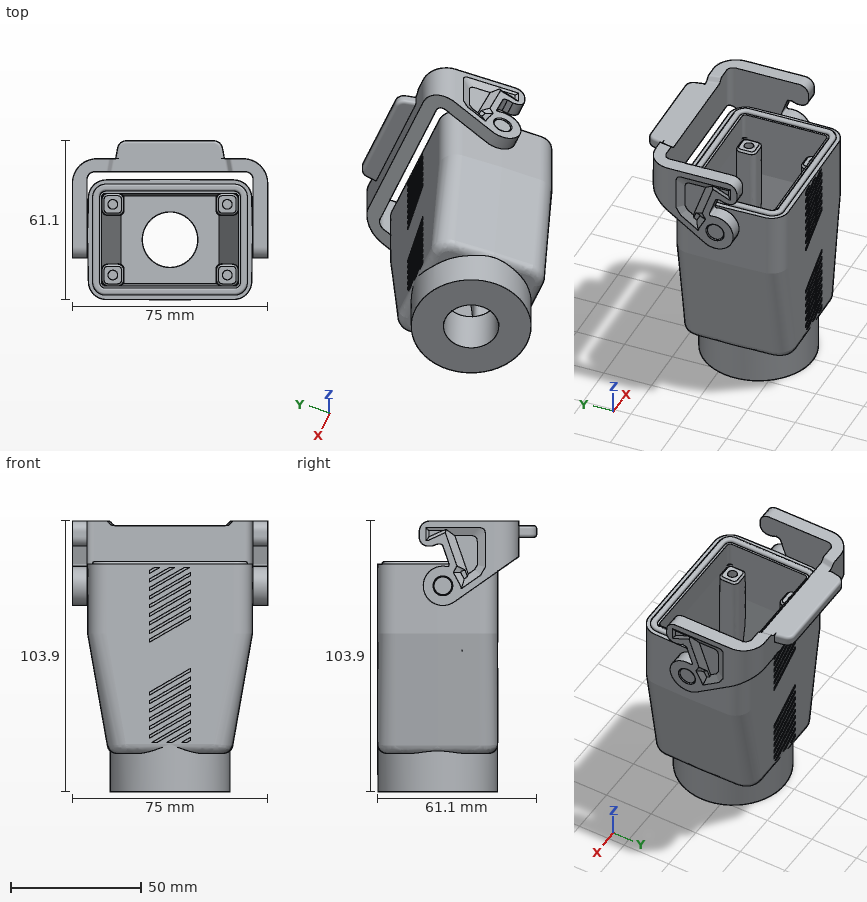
import cadquery as cq
import math

overall_width = 75.0
overall_height = 103.9

hood_depth = 46.0
hood_half_width = 31.65
side_draft = 0.4
hood_bottom = 14.7
taper_start = 60.7
hood_top = 87.3
taper_angle = 10.0
hood_corner_radius = 7.0
hood_bottom_radius = 3.5

collar_diameter = hood_depth
cable_hole_diameter = 21.2

cavity_half_width = 26.2
cavity_half_depth = 17.7
cavity_floor = 19.0
cavity_floor_half_depth = 16.8
cavity_corner_radius = 1.5
lip_outer_half_width = 29.7
lip_outer_half_depth = 21.3
lip_width = 2.7
lip_height = 1.05
lip_corner_radius = 5.0
lip_edge_radius = 0.9

post_x = 21.95
post_y = 13.55
post_size = 8.3
post_top = 76.4
post_draft = 0.2
post_corner_radius = 2.2
post_top_chamfer = 0.8
screw_hole_diameter = 3.7
screw_hole_depth = 12.0

lever_back = 31.1
lever_back_thickness = 5.1
lever_arm_thickness = 5.7
lever_outer_radius = 9.5
lever_inner_radius = 2.8
pivot_y = 2.0
pivot_z = 79.0
pivot_boss_radius = 7.55
lower_edge_angle = 35.0
nose_front_y = -7.1
nose_upper_radius = 4.1
nose_lower_radius = 3.4
nose_bottom_z = 94.2
nose_lip_y = -2.2
mouth_roof_start_y = 0.0
mouth_roof_z = 95.0
mouth_roof_y = 1.7
throat_angle = 22.0
mouth_roof_radius = 1.2
throat_radius = 0.7
pin_radius = 3.4
pin_chamfer = 0.4
pin_embed = 0.8

arm_rim = 2.6
pocket_depth = 1.5
pocket_wall_angle = 64.0
pocket_back_y = 18.25
pocket_corner_radius = 5.0
pocket_back_chamfer = 1.8
nose_pocket_depth = 0.55
nose_pocket_low_z = 96.4
nose_pocket_low_width = 0.8
nose_pocket_high_z = 99.6
nose_pocket_top_overlap = 2.0
nose_pocket_low_overlap = 1.0
pivot_pocket_depth = 1.2
pivot_rim_radius = 6.5
pivot_rim_start = 38.0
pivot_rim_end = 85.0
pivot_tip_offset = 0.6
pivot_pocket_top_z = 86.6
pivot_pocket_width = 6.0
pivot_pocket_height = 7.5

tab_end = 38.0
tab_top = 102.1
tab_thickness = 4.6
tab_base_half_width = 20.9
tab_side_angle = 10.5
tab_corner_radius = 3.5
tab_edge_radius = 1.2
notch_half_width = 21.4
notch_side_angle = 45.0
notch_edge_radius = 1.2

rib_band_half_width = 7.8
rib_band_bottom = 19.0
rib_band_top = 86.0
rib_angle = 30.0
rib_thickness = 1.0
rib_height = 0.15
rib_pitch = 3.3
upper_rib_start = 62.5
lower_rib_start = 42.2
ribs_per_group = 11


def rad(angle):
    return math.radians(angle)


taper_slope = math.tan(rad(taper_angle))


def box_around(x, y, z, reach=0.5):
    """Selects whatever has its centre close to one point."""
    return cq.selectors.BoxSelector(
        (x - reach, y - reach, z - reach), (x + reach, y + reach, z + reach))


def half_hood_outline(half_width, z):
    """Back half of the hood outline, with its straight side on the parting plane."""
    half_depth = hood_depth / 2
    end_width = half_width - side_draft
    outline = cq.Workplane("XY", origin=(0, 0, z)).polyline([
        (half_width, 0), (end_width, half_depth), (-end_width, half_depth), (-half_width, 0),
    ]).close()
    return outline.val().fillet2D(hood_corner_radius, outline.vertices(">Y").vals())


def make_hood():
    """Tapered housing, built as one half and its mirror image, on a round collar."""
    drop = taper_start - hood_bottom
    bottom = half_hood_outline(hood_half_width - drop * taper_slope, hood_bottom)
    middle = half_hood_outline(hood_half_width, taper_start)
    top = half_hood_outline(hood_half_width, hood_top)
    lower = cq.Workplane(cq.Solid.makeLoft([bottom, middle], True))
    lower = lower.faces("<Z").edges("not(<Y)").fillet(hood_bottom_radius)
    upper = cq.Workplane(cq.Solid.makeLoft([middle, top], True))
    half = lower.union(upper)
    collar = cq.Workplane("XY").circle(collar_diameter / 2).extrude(cavity_floor)
    return half.union(half.mirror("XZ")).union(collar)


def make_cavity():
    """Space inside the hood."""
    upper = (cq.Workplane("XY").workplane(offset=post_top)
             .rect(2 * cavity_half_width, 2 * cavity_half_depth).extrude(overall_height - post_top))
    floor_half_width = cavity_half_width - (taper_start - cavity_floor) * taper_slope
    slope_block = (cq.Workplane("YZ").polyline([
        (-cavity_half_depth, post_top), (cavity_half_depth, post_top),
        (cavity_floor_half_depth, cavity_floor), (-cavity_floor_half_depth, cavity_floor),
    ]).close().extrude(cavity_half_width, both=True))
    side_block = (cq.Workplane("XZ").polyline([
        (-cavity_half_width, post_top), (cavity_half_width, post_top),
        (cavity_half_width, taper_start), (floor_half_width, cavity_floor),
        (-floor_half_width, cavity_floor), (-cavity_half_width, taper_start),
    ]).close().extrude(hood_depth, both=True))
    return upper.edges("|Z").fillet(cavity_corner_radius).union(slope_block.intersect(side_block))


def make_lip():
    """Rounded sealing ring on the hood rim."""
    outer = (2 * lip_outer_half_width, 2 * lip_outer_half_depth)
    inner = (outer[0] - 2 * lip_width, outer[1] - 2 * lip_width)
    ring = (cq.Workplane("XY").workplane(offset=hood_top).rect(*outer).extrude(lip_height)
            .edges("|Z").fillet(lip_corner_radius))
    opening = (cq.Workplane("XY").workplane(offset=hood_top).rect(*inner).extrude(lip_height)
               .edges("|Z").fillet(lip_corner_radius - lip_width))
    return ring.cut(opening).faces(">Z").edges().fillet(lip_edge_radius)


def post_outline(size):
    return cq.Sketch().rect(size, size).vertices().fillet(post_corner_radius)


def make_posts():
    """Four screw posts standing on the cavity floor, and their blind holes."""
    height = post_top - cavity_floor
    foot_size = post_size + 2 * height * math.tan(rad(post_draft))
    centers = [(sx * post_x, sy * post_y) for sx in (-1, 1) for sy in (-1, 1)]
    post = (cq.Workplane("XY").workplane(offset=cavity_floor)
            .placeSketch(post_outline(foot_size),
                         post_outline(post_size).moved(cq.Location(cq.Vector(0, 0, height))))
            .loft().faces(">Z").chamfer(post_top_chamfer))
    posts = cq.Workplane("XY")
    for x, y in centers:
        posts = posts.union(post.translate((x, y, 0)))
    holes = (cq.Workplane("XY").workplane(offset=post_top).pushPoints(centers)
             .circle(screw_hole_diameter / 2).extrude(-screw_hole_depth))
    return posts, holes


def lever_plan():
    """U shape of the lever from above, as a full-height block."""
    outer_half = overall_width / 2
    inner_half = outer_half - lever_arm_thickness
    inner_back = lever_back - lever_back_thickness
    outer = (cq.Workplane("XY").rect(2 * outer_half, 2 * lever_back).extrude(overall_height)
             .edges("|Z and >Y").fillet(lever_outer_radius))
    inner = (cq.Workplane("XY").rect(2 * inner_half, 2 * inner_back).extrude(overall_height)
             .edges("|Z and >Y").fillet(lever_inner_radius))
    front_gap = (cq.Workplane("XY").center(0, -lever_back)
                 .rect(2 * inner_half, 2 * lever_back).extrude(overall_height))
    return outer.cut(inner).cut(front_gap)


def on_pivot_circle(radius, angle):
    """Point on a circle about the pivot, at an angle from straight up towards +Y."""
    return (pivot_y + radius * math.sin(rad(angle)), pivot_z + radius * math.cos(rad(angle)))


def lever_side_profile():
    """Hooked side shape of the lever arms, as a full-width block."""
    throat_y, throat_z = on_pivot_circle(pivot_boss_radius, throat_angle)
    tangent_y, tangent_z = on_pivot_circle(pivot_boss_radius, 180 - lower_edge_angle)
    back_z = tangent_z + (lever_back - tangent_y) * math.tan(rad(lower_edge_angle))
    profile = (cq.Workplane("YZ").moveTo(lever_back, overall_height)
               .lineTo(nose_front_y, overall_height)
               .lineTo(nose_front_y, nose_bottom_z)
               .lineTo(nose_lip_y, nose_bottom_z)
               .lineTo(mouth_roof_start_y, mouth_roof_z)
               .lineTo(mouth_roof_y, mouth_roof_z)
               .lineTo(throat_y, throat_z)
               .threePointArc((pivot_y - pivot_boss_radius, pivot_z), (tangent_y, tangent_z))
               .lineTo(lever_back, back_z)
               .close().extrude(overall_width, both=True))
    for y, z, radius in [
        (nose_front_y, overall_height, nose_upper_radius),
        (nose_front_y, nose_bottom_z, nose_lower_radius),
        (mouth_roof_y, mouth_roof_z, mouth_roof_radius),
        (throat_y, throat_z, throat_radius),
    ]:
        profile = profile.edges(box_around(0, y, z)).fillet(radius)
    return profile


def make_tab():
    """Thumb tab reaching out behind the lever."""
    inner_back = lever_back - lever_back_thickness
    side_slope = math.tan(rad(tab_side_angle))
    root_half = tab_base_half_width + lever_back_thickness * side_slope
    end_half = tab_base_half_width - (tab_end - lever_back) * side_slope
    tab = (cq.Workplane("XY").workplane(offset=tab_top - tab_thickness).polyline([
        (root_half, inner_back), (end_half, tab_end), (-end_half, tab_end), (-root_half, inner_back),
    ]).close().extrude(tab_thickness))
    tab = tab.edges("|Z and >Y").fillet(tab_corner_radius)
    return tab.faces(">Z or <Z").edges("not(<Y)").fillet(tab_edge_radius)


def make_notch():
    """Cut that lowers the top of the lever back to the level of the tab."""
    overrun = 1.0
    front = lever_back - lever_back_thickness - overrun
    back = lever_back + overrun
    side_slope = math.tan(rad(tab_side_angle))
    front_half = notch_half_width + (lever_back - front) * side_slope
    back_half = notch_half_width - overrun * side_slope
    return (cq.Workplane("XY").workplane(offset=tab_top).polyline([
        (front_half, front), (back_half, back), (-back_half, back), (-front_half, front),
    ]).close().extrude(overall_height - tab_top, taper=-notch_side_angle))


def round_notch_ends(lever):
    """Rounds the foot and the head of both notch slopes."""
    middle_y = lever_back - lever_back_thickness / 2
    foot_x = notch_half_width + lever_back_thickness / 2 * math.tan(rad(tab_side_angle))
    head_x = foot_x + (overall_height - tab_top) * math.tan(rad(notch_side_angle))
    for side in (-1, 1):
        for x, z in ((foot_x, tab_top), (head_x, overall_height)):
            lever = lever.edges(box_around(side * x, middle_y, z)).fillet(notch_edge_radius)
    return lever


def make_pin():
    """Pivot pin joining one arm to the hood."""
    inner_x = hood_half_width - pin_embed
    return (cq.Workplane("YZ", origin=(inner_x, pivot_y, pivot_z))
            .circle(pin_radius).extrude(overall_width / 2 - pin_chamfer - inner_x))


def make_pin_recess():
    """Countersink in the outer face of the arm, down to the end of the pin."""
    outer_x = overall_width / 2
    return (cq.Workplane("YZ", origin=(outer_x - pin_chamfer, pivot_y, pivot_z))
            .circle(pin_radius).workplane(offset=pin_chamfer)
            .circle(pin_radius + pin_chamfer).loft())


def tapered_pocket(points, depth):
    """Pocket cut into the outer face of the +X arm, with walls that lean inwards."""
    return (cq.Workplane("YZ", origin=(overall_width / 2, 0, 0)).polyline(points).close()
            .extrude(-depth, taper=pocket_wall_angle))


def make_arm_pockets():
    """Main pocket with its extensions into the nose and beside the pivot."""
    top = overall_height - arm_rim
    throat_y, throat_z = on_pivot_circle(pivot_boss_radius, throat_angle)
    lean = (throat_y - mouth_roof_y) / (mouth_roof_z - throat_z)
    throat_wall_y = mouth_roof_y + arm_rim * math.hypot(1, lean)
    throat_top_y = throat_wall_y - lean * (top - mouth_roof_z)

    tangent_y, tangent_z = on_pivot_circle(pivot_boss_radius, 180 - lower_edge_angle)
    slope = math.tan(rad(lower_edge_angle))
    low_wall_z = tangent_z + arm_rim / math.cos(rad(lower_edge_angle))

    def on_low_wall(y):
        return (y, low_wall_z + (y - tangent_y) * slope)

    _, back_low_z = on_low_wall(pocket_back_y)

    tip_z = ((low_wall_z + (throat_wall_y + lean * mouth_roof_z - tangent_y) * slope)
             / (1 + lean * slope))
    tip_y = throat_wall_y + lean * (mouth_roof_z - tip_z)

    main = tapered_pocket([
        (pocket_back_y, top), (throat_top_y, top), (tip_y, tip_z),
        on_low_wall(pocket_back_y - pocket_back_chamfer),
        (pocket_back_y, back_low_z + pocket_back_chamfer),
    ], pocket_depth)
    wall_run = pocket_depth * math.tan(rad(pocket_wall_angle))
    corner = box_around(overall_width / 2 - pocket_depth / 2, pocket_back_y - wall_run / 2,
                        top - wall_run / 2)
    main = main.edges(corner).fillet(pocket_corner_radius)

    nose_y = nose_front_y + arm_rim
    nose = tapered_pocket([
        (throat_top_y + nose_pocket_top_overlap, top), (nose_y, top), (nose_y, nose_pocket_low_z),
        (nose_y + nose_pocket_low_width, nose_pocket_low_z),
        (throat_top_y + nose_pocket_low_overlap, nose_pocket_high_z),
    ], nose_pocket_depth)

    pivot_tip_y, _ = on_pivot_circle(pivot_rim_radius, pivot_rim_end)
    pivot_back_y, pivot_back_z = on_low_wall(pivot_tip_y + pivot_pocket_width)
    pivot = tapered_pocket([
        on_pivot_circle(pivot_rim_radius, pivot_rim_start),
        on_pivot_circle(pivot_rim_radius, pivot_rim_end),
        on_low_wall(pivot_tip_y + pivot_tip_offset),
        (pivot_back_y, pivot_back_z),
        (pivot_back_y, pivot_back_z + pivot_pocket_height),
        (throat_wall_y + lean * (mouth_roof_z - pivot_pocket_top_z), pivot_pocket_top_z),
    ], pivot_pocket_depth)
    return main.union(nose).union(pivot)


def make_lever():
    lever = lever_plan().intersect(lever_side_profile())
    lever = round_notch_ends(lever.cut(make_notch())).union(make_tab())
    pin = make_pin()
    recess = make_pin_recess()
    lever = lever.union(pin).union(pin.mirror("YZ"))
    pockets = make_arm_pockets()
    for cutter in (recess, pockets):
        lever = lever.cut(cutter).cut(cutter.mirror("YZ"))
    return lever


def make_ribs():
    """Slanted ribs on the front face, cut off square at the edges of their band."""
    band_height = rib_band_top - rib_band_bottom
    half_depth = hood_depth / 2
    band = (cq.Workplane("XY")
            .box(2 * rib_band_half_width, hood_depth + 2 * rib_height, band_height)
            .translate((0, 0, rib_band_bottom + band_height / 2)))
    heights = [upper_rib_start + i * rib_pitch for i in range(ribs_per_group)]
    heights += [lower_rib_start - i * rib_pitch for i in range(ribs_per_group)]
    blank = (cq.Workplane("XY").box(4 * rib_band_half_width, 2 * rib_height, rib_thickness)
             .rotate((0, 0, 0), (0, 1, 0), -rib_angle))
    ribs = cq.Workplane("XY")
    for z in heights:
        ribs = ribs.union(blank.translate((0, -half_depth, z)))
    return ribs.intersect(band)


cavity = make_cavity()
posts, screw_holes = make_posts()
cable_hole = cq.Workplane("XY").circle(cable_hole_diameter / 2).extrude(overall_height)
front_ribs = make_ribs()
back_ribs = front_ribs.rotate((0, 0, 0), (0, 0, 1), 180)

hood = make_hood().cut(cavity).union(posts.intersect(cavity))
hood = hood.cut(screw_holes).cut(cable_hole)
hood = hood.union(make_lip()).union(front_ribs).union(back_ribs)
result = hood.union(make_lever())